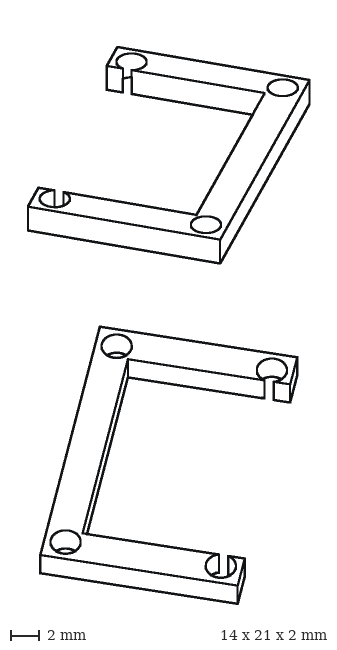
import cadquery as cq

length_x = 14.0
width_y = 21.0
thickness = 2.0

bar_width = 2.5

hole_diameter = 2.1
hole_inset = 1.5


def make_frame():
    """C-shaped frame, open toward -X, resting on Z = 0."""
    plate = cq.Workplane("XY").box(length_x, width_y, thickness, centered=(True, True, False))
    opening = (
        cq.Workplane("XY")
        .box(length_x - bar_width, width_y - 2 * bar_width, thickness, centered=(True, True, False))
        .translate((-bar_width / 2, 0, 0))
    )
    return plate.cut(opening)


def make_holes():
    """Four corner cylinders; the two at the arm tips break through the inner arm faces."""
    return (
        cq.Workplane("XY")
        .rect(length_x - 2 * hole_inset, width_y - 2 * hole_inset, forConstruction=True)
        .vertices()
        .circle(hole_diameter / 2)
        .extrude(thickness)
    )


result = make_frame().cut(make_holes())